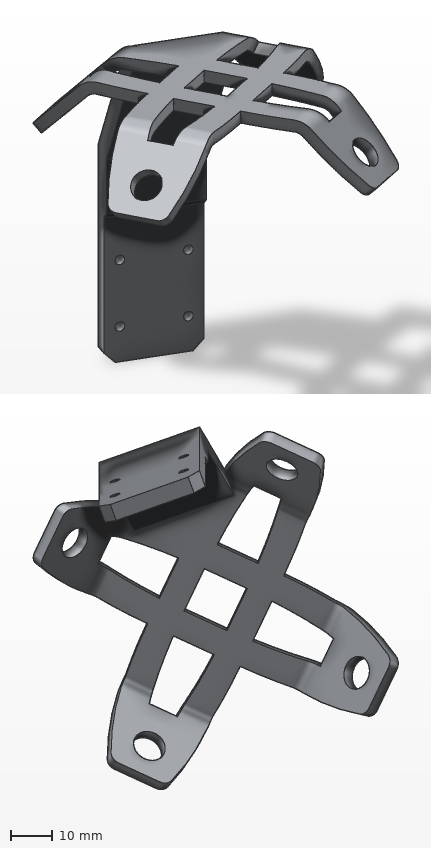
import cadquery as cq
import math

sheet = 3.2
bend_angle = 45
bend_radius = 6.55
bend_start = 26.5
slope_length = 20.8
sin_bend = math.sin(math.radians(bend_angle))
cos_bend = math.cos(math.radians(bend_angle))
bend_end = bend_start + bend_radius * sin_bend
bend_drop = bend_radius * (1 - cos_bend)

root_half = 12.4
bend_half = 11.65
tip_half = 7.5
flank_bulge = 0.8
flat_bulge = 0.2
tip_corner_radius = 2.7
arm_hole = 8.0
arm_hole_place = 12.5

center_half = 5.7
window_start = 12.5
window_start_half = 5.5
window_end_half = 3.4
window_bulge = 0.4
window_past_bend = 1.2

height = 91.0
bracket_half = 12.9
bracket_back = -47.5
bracket_top_x = -27.7
bracket_thick = 5.9
bracket_thin = 4.2
bracket_lean = 60
bracket_bend_radius = 2.7
step_z = -50.4
step_height = bracket_thick - bracket_thin
corner_chamfer = 2.9
screw_hole = 2.5
screw_spacing = 17.65
screw_center_z = -72.8
web_half = 9.9

tool_reach = 54.6


def bend_point(depth, angle):
    """Point of the bend, at a depth below the top face and an angle in degrees."""
    radius = bend_radius - depth
    turn = math.radians(angle)
    return bend_start + radius * math.sin(turn), -bend_radius + radius * math.cos(turn)


def slope_plane(distance):
    """Plane on the sloping top face, its X axis running down the slope."""
    origin = (bend_end + distance * cos_bend, 0, -bend_drop - distance * sin_bend)
    return cq.Plane(origin=origin, xDir=(cos_bend, 0, -sin_bend), normal=(sin_bend, 0, cos_bend))


def flank_middle(start, start_half, end, end_half, bulge):
    return (start + end) / 2, (start_half + end_half) / 2 + bulge


def tapered_outline(plane, start, start_half, end, end_half, bulge):
    """Closed outline along X whose two bowed flanks narrow to a straight end."""
    mid_x, mid_half = flank_middle(start, start_half, end, end_half, bulge)
    return (
        cq.Workplane(plane)
        .moveTo(start, -start_half)
        .threePointArc((mid_x, -mid_half), (end, -end_half))
        .lineTo(end, end_half)
        .threePointArc((mid_x, mid_half), (start, start_half))
        .close()
    )


def make_arm():
    flat_root = cq.Workplane("XY").rect(2 * window_start, 2 * root_half).extrude(-sheet)
    flat = tapered_outline(
        cq.Plane.XY(), window_start, root_half, bend_start, bend_half, flat_bulge
    ).extrude(-sheet)
    bend = (
        cq.Workplane("XZ")
        .moveTo(*bend_point(0, 0))
        .threePointArc(bend_point(0, bend_angle / 2), bend_point(0, bend_angle))
        .lineTo(*bend_point(sheet, bend_angle))
        .threePointArc(bend_point(sheet, bend_angle / 2), bend_point(sheet, 0))
        .close()
        .extrude(bend_half, both=True)
    )
    slope = tapered_outline(
        slope_plane(0), 0, bend_half, slope_length, tip_half, flank_bulge
    ).extrude(-sheet)
    tip_corners = cq.selectors.BoxSelector(
        (bend_end + slope_length * cos_bend / 2, -root_half, -height),
        (tool_reach, root_half, 0),
    )
    slope = slope.edges(tip_corners).edges(
        cq.selectors.ParallelDirSelector(cq.Vector(sin_bend, 0, cos_bend))
    ).fillet(tip_corner_radius)
    hole = cq.Workplane(slope_plane(arm_hole_place)).circle(arm_hole / 2).extrude(-sheet)
    return flat_root.union(flat).union(bend).union(slope.cut(hole))


def make_window():
    """Vertical opening along an arm, ended by a wall square to the slope."""
    end = bend_end + window_past_bend * cos_bend
    opening = tapered_outline(
        cq.Plane.XY(), window_start, window_start_half, end, window_end_half, window_bulge
    ).extrude(2 * sheet, both=True)
    beyond_end = (
        cq.Workplane(slope_plane(window_past_bend))
        .rect(tool_reach, tool_reach)
        .extrude(tool_reach, both=True)
        .translate((tool_reach / 2 * cos_bend, 0, -tool_reach / 2 * sin_bend))
    )
    return opening.cut(beyond_end)


def make_bend_clearance():
    """Space directly above the bend and slope of an arm."""
    slope_end = slope_plane(slope_length).origin
    return (
        cq.Workplane("XZ")
        .moveTo(*bend_point(0, 0))
        .threePointArc(bend_point(0, bend_angle / 2), bend_point(0, bend_angle))
        .lineTo(slope_end.x, slope_end.z)
        .lineTo(slope_end.x, 0)
        .close()
        .extrude(bend_half, both=True)
    )


def make_bracket():
    lean = math.radians(bracket_lean)
    outer_bend_z = -(bracket_top_x - bracket_back) * math.tan(lean)
    inner_bend_z = outer_bend_z - bracket_thick * math.tan((math.pi / 2 - lean) / 2)
    inner_x = bracket_back + bracket_thick
    inner_top_x = inner_x + (-sheet - inner_bend_z) / math.tan(lean)
    thin_x = bracket_back + bracket_thin
    bracket = (
        cq.Workplane("XZ")
        .moveTo(bracket_top_x, 0)
        .lineTo(bracket_back, outer_bend_z)
        .lineTo(bracket_back, -height)
        .lineTo(thin_x, -height)
        .lineTo(thin_x, step_z - step_height)
        .lineTo(inner_x, step_z)
        .lineTo(inner_x, inner_bend_z)
        .lineTo(inner_top_x, -sheet)
        .lineTo(inner_top_x, 0)
        .close()
        .extrude(bracket_half, both=True)
    )
    outer_bend = cq.selectors.NearestToPointSelector((bracket_back, 0, outer_bend_z))
    bracket = bracket.edges("|Y").edges(outer_bend).fillet(bracket_bend_radius)
    bracket = bracket.faces("<Z").edges("|X").chamfer(corner_chamfer)
    screws = (
        cq.Workplane("YZ", origin=(bracket_back, 0, screw_center_z))
        .rarray(screw_spacing, screw_spacing, 2, 2)
        .circle(screw_hole / 2)
        .extrude(bracket_thick)
    )
    return bracket.cut(screws)


def around_z(body, angle):
    return body.rotate((0, 0, 0), (0, 0, 1), angle)


arm_angles = [45, 135, 225, 315]

bracket = make_bracket()
for angle in arm_angles:
    bracket = bracket.cut(around_z(make_bend_clearance(), angle))

web = (
    cq.Workplane("XY")
    .polyline([(bracket_top_x, -web_half), (0, 0), (bracket_top_x, web_half)])
    .close()
    .extrude(-sheet)
)

result = bracket.union(web)
for angle in arm_angles:
    result = result.union(around_z(make_arm(), angle))
for angle in arm_angles:
    result = result.cut(around_z(make_window(), angle))

center_opening = cq.Workplane("XY").rect(2 * center_half, 2 * center_half).extrude(-sheet)
result = result.cut(around_z(center_opening, 45))